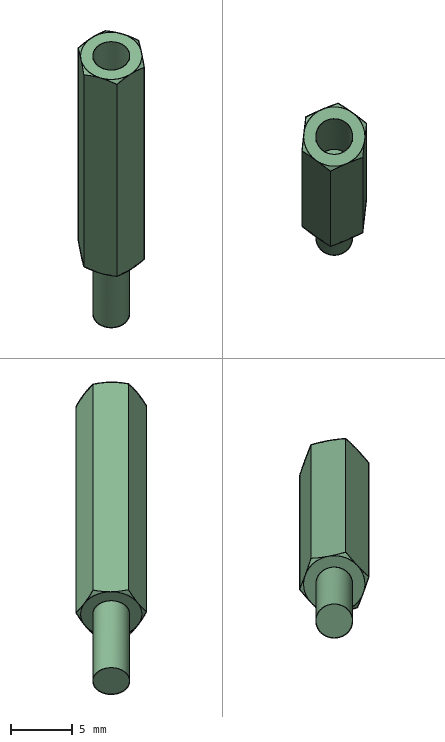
import cadquery as cq
import math

total_length = 33.0
hex_length = 25.0
stud_length = total_length - hex_length

across_corners = 5.78
across_flats = across_corners * math.cos(math.radians(30))
chamfer_angle = 30.0
end_face_diameter = across_flats

stud_diameter = 3.0
bore_depth = 10.0


def make_chamfer_envelope():
    """Round bar with conical ends that trims the hexagon's corners."""
    end_radius = end_face_diameter / 2
    corner_radius = across_corners / 2
    chamfer_height = (corner_radius - end_radius) * math.tan(math.radians(chamfer_angle))
    return (
        cq.Workplane("XZ")
        .moveTo(0, 0)
        .lineTo(end_radius, 0)
        .lineTo(corner_radius, chamfer_height)
        .lineTo(corner_radius, hex_length - chamfer_height)
        .lineTo(end_radius, hex_length)
        .lineTo(0, hex_length)
        .close()
        .revolve(360, (0, 0, 0), (0, 1, 0))
    )


def make_sleeve():
    """Hexagonal sleeve with corners on the Y axis and a blind bore from the top."""
    hexagon = (
        cq.Workplane("XY")
        .transformed(rotate=(0, 0, 90))
        .polygon(6, across_corners)
        .extrude(hex_length)
    )
    bore = (
        cq.Workplane("XY")
        .workplane(offset=hex_length - bore_depth)
        .circle(stud_diameter / 2)
        .extrude(bore_depth)
    )
    return hexagon.intersect(make_chamfer_envelope()).cut(bore)


def make_stud():
    """Cylindrical stud that hangs below the sleeve and meets its bottom face."""
    return cq.Workplane("XY").circle(stud_diameter / 2).extrude(-stud_length)


sleeve = make_sleeve()
stud = make_stud()

result = cq.Compound.makeCompound([sleeve.val(), stud.val()])